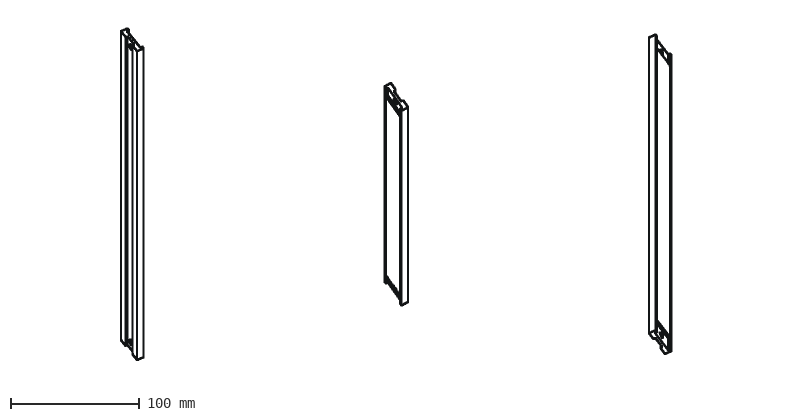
import cadquery as cq

length = 350.0
width = 25.0
thickness = 6.0
front_y = -thickness / 2
back_y = thickness / 2

channel_mouth = 11.0
channel_floor = 10.0
channel_depth = 1.8
channel_y = front_y + channel_depth

groove_mouth = 20.5
groove_floor = 20.0
groove_depth = 1.8
groove_y = back_y - groove_depth

layer_length = 322.0
layer_width = groove_floor
cover_thickness = 1.0
backing_thickness = groove_depth - cover_thickness

hole_diameter = 4.5
hole_end_distance = 7.7


def make_rail():
    profile = [
        (-width / 2, front_y),
        (-channel_mouth / 2, front_y),
        (-channel_floor / 2, channel_y),
        (channel_floor / 2, channel_y),
        (channel_mouth / 2, front_y),
        (width / 2, front_y),
        (width / 2, back_y),
        (groove_mouth / 2, back_y),
        (groove_floor / 2, groove_y),
        (-groove_floor / 2, groove_y),
        (-groove_mouth / 2, back_y),
        (-width / 2, back_y),
    ]
    bar = cq.Workplane("XY").polyline(profile).close().extrude(length)
    return bar.cut(make_hole_cutters())


def make_hole_cutters():
    return (
        cq.Workplane("XZ", origin=(0, back_y, 0))
        .pushPoints([(0, hole_end_distance), (0, length - hole_end_distance)])
        .circle(hole_diameter / 2)
        .extrude(thickness)
    )


def make_layer(layer_front_y, layer_thickness):
    """Flat strip centred along the groove, its front face at layer_front_y."""
    center_y = layer_front_y + layer_thickness / 2
    start_z = (length - layer_length) / 2
    return (
        cq.Workplane("XY", origin=(0, center_y, start_z))
        .rect(layer_width, layer_thickness)
        .extrude(layer_length)
    )


rail = make_rail()

backing = make_layer(groove_y, backing_thickness)

cover = make_layer(groove_y + backing_thickness, cover_thickness)

result = cq.Compound.makeCompound([rail.val(), backing.val(), cover.val()])